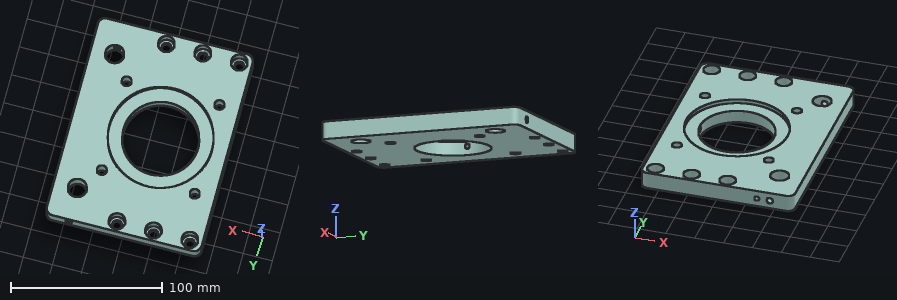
import cadquery as cq

plate_width = 106.0
plate_length = 141.0
plate_thickness = 12.0
corner_radius = 5.0
right_edge = plate_width / 2
left_edge = -right_edge
front_edge = -plate_length / 2
mid_height = plate_thickness / 2

bore_x = left_edge + 45.5
bore_diameter = 51.0
recess_diameter = 70.1
recess_depth = 3.0

pattern_pitch = 63.6
pattern_hole_diameter = 6.5

screw_count = 3
first_screw_x = left_edge + 8.6
screw_pitch = 25.0
screw_row_y = 63.5
screw_diameter = 6.5
screw_head_diameter = 11.0
screw_head_depth = 8.5

post_x = right_edge - 16.2
post_y = 48.0
post_diameter = 12.5
clamp_diameter = 4.2

front_hole_x = right_edge - 25.2
front_hole_depth = 11.3
edge_hole_diameter = 3.2


def upright_cylinder(x, y, diameter, depth):
    """Cylinder going down from the top face."""
    base = plate_thickness - depth
    return cq.Workplane("XY", origin=(x, y, base)).circle(diameter / 2).extrude(depth)


def edge_cylinder(start, direction, diameter, depth):
    """Horizontal cylinder at mid thickness, going into the plate from an edge point."""
    x, y = start
    axis = cq.Vector(*direction)
    return cq.Workplane(cq.Solid.makeCylinder(diameter / 2, depth, cq.Vector(x, y, mid_height), axis))


result = (
    cq.Workplane("XY")
    .rect(plate_width, plate_length)
    .extrude(plate_thickness)
    .edges("|Z")
    .fillet(corner_radius)
)

result = result.cut(upright_cylinder(bore_x, 0, bore_diameter, plate_thickness))
result = result.cut(upright_cylinder(bore_x, 0, recess_diameter, recess_depth))

for side_x in (-1, 1):
    for side_y in (-1, 1):
        hole_x = bore_x + side_x * pattern_pitch / 2
        hole_y = side_y * pattern_pitch / 2
        result = result.cut(upright_cylinder(hole_x, hole_y, pattern_hole_diameter, plate_thickness))

for side_y in (-1, 1):
    for index in range(screw_count):
        screw_x = first_screw_x + index * screw_pitch
        screw_y = side_y * screw_row_y
        result = result.cut(upright_cylinder(screw_x, screw_y, screw_diameter, plate_thickness))
        result = result.cut(upright_cylinder(screw_x, screw_y, screw_head_diameter, screw_head_depth))

clamp_depth = plate_length / 2 - post_y
for side_y in (-1, 1):
    result = result.cut(upright_cylinder(post_x, side_y * post_y, post_diameter, plate_thickness))
    clamp_start = (post_x, side_y * plate_length / 2)
    result = result.cut(edge_cylinder(clamp_start, (0, -side_y, 0), clamp_diameter, clamp_depth))

front_start = (front_hole_x, front_edge)
result = result.cut(edge_cylinder(front_start, (0, 1, 0), edge_hole_diameter, front_hole_depth))

left_hole_depth = bore_x - left_edge
result = result.cut(edge_cylinder((left_edge, 0), (1, 0, 0), edge_hole_diameter, left_hole_depth))